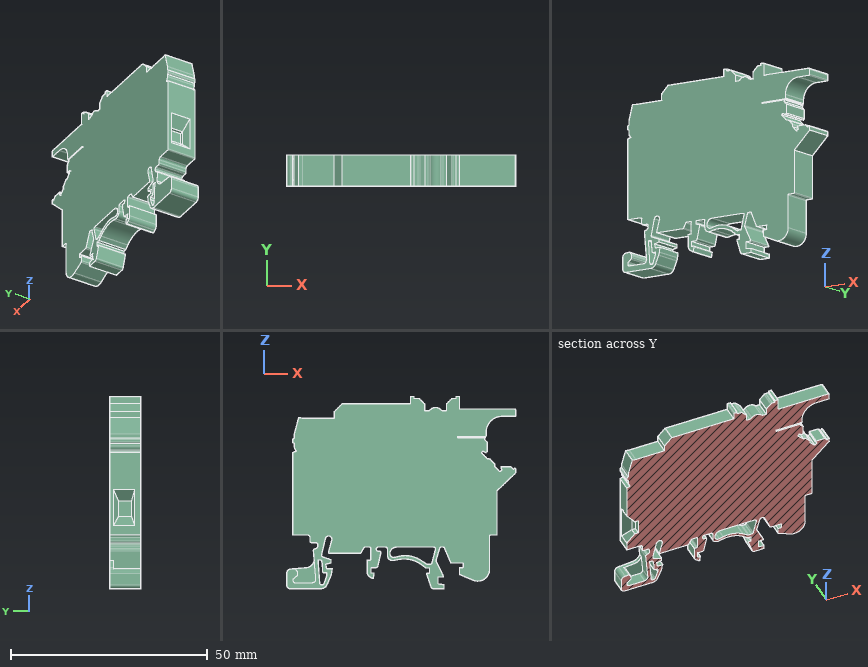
import cadquery as cq
import math


LENGTH = 58.3
HEIGHT = 48.91
THICKNESS = 8.0

FLOOR_Z = 0.0
SHOULDER_Z = 13.64
UNDERSIDE_Z = 10.57
RAIL_SEAT_Z = 9.03
HEAD_Z = 47.05
LEFT_STEP_Z = 43.4
ARM_Z = 45.7
POCKET_Z = 45.25

LEFT_X = 1.54
RIGHT_X = 53.5
RIGHT_FOOT_X = 51.6

ARM_LEFT_X = 6.9
TRAY_FLOOR_Z = 1.54
TRAY_LIP_Z = 4.98
TRAY_RISE = 0.084

EDGE_ROUND = 0.4
TINY_ROUND = 0.2


def rounding_arc(before, corner, after):
    """Start, middle and end of the arc that rounds one corner."""
    x, z, radius = corner
    in_x, in_z = before[0] - x, before[1] - z
    out_x, out_z = after[0] - x, after[1] - z
    in_length = math.hypot(in_x, in_z)
    out_length = math.hypot(out_x, out_z)
    in_x, in_z = in_x / in_length, in_z / in_length
    out_x, out_z = out_x / out_length, out_z / out_length
    half_angle = math.acos(in_x * out_x + in_z * out_z) / 2
    setback = radius / math.tan(half_angle)
    middle_x, middle_z = in_x + out_x, in_z + out_z
    middle_length = math.hypot(middle_x, middle_z)
    to_arc = radius / math.sin(half_angle) - radius
    start = (x + in_x * setback, z + in_z * setback)
    middle = (x + middle_x / middle_length * to_arc, z + middle_z / middle_length * to_arc)
    end = (x + out_x * setback, z + out_z * setback)
    return start, middle, end


def extruded(corners, y_from=-THICKNESS / 2, y_to=THICKNESS / 2):
    """Solid between two Y planes, bounded by the closed outline through the corners."""
    pieces = []
    for index, corner in enumerate(corners):
        if len(corner) == 2:
            pieces.append([corner])
        else:
            after = corners[(index + 1) % len(corners)]
            pieces.append(rounding_arc(corners[index - 1], corner, after))
    outline = cq.Workplane("XZ", origin=(0, y_to, 0)).moveTo(*pieces[0][-1])
    for piece in pieces[1:]:
        outline = outline.lineTo(*piece[0])
        if len(piece) > 1:
            outline = outline.threePointArc(piece[1], piece[2])
    if len(pieces[0]) > 1:
        outline = outline.lineTo(*pieces[0][0]).threePointArc(pieces[0][1], pieces[0][2])
    return outline.close().extrude(y_to - y_from)


def left_side():
    """Side face, snap groove, small bead and the leaning upper wall."""
    groove_z = 35.0
    groove_x = LEFT_X + 0.9
    groove_lower_rise = 0.35
    groove_upper_rise = 0.75
    groove_round = 1.6
    wall_x = LEFT_X + 0.4
    bead_z = 37.6
    bead_base = 1.4
    bead_width = 0.8
    lean_start_z = 39.3
    wall_top_x = 3.07
    crest_rise = 0.15
    crest_width = 1.0
    return [
        (LEFT_X, SHOULDER_Z, TINY_ROUND),
        (LEFT_X, groove_z - groove_lower_rise),
        (groove_x, groove_z),
        (wall_x, groove_z + groove_upper_rise, groove_round),
        (wall_x, bead_z - bead_base / 2),
        (LEFT_X, bead_z - bead_width / 2, TINY_ROUND),
        (LEFT_X, bead_z + bead_width / 2, TINY_ROUND),
        (wall_x, bead_z + bead_base / 2),
        (wall_x, lean_start_z),
        (wall_top_x, LEFT_STEP_Z + crest_rise),
        (wall_top_x + crest_width, LEFT_STEP_Z),
    ]


def head_top():
    """Left step, chamfered head and the two jaws of the marker holder."""
    step_x = 12.1
    chamfer = 2.05
    jaw_left_x = 31.5
    jaw_right_x = 44.0
    lip_width = 0.95
    jaw_z = 48.4
    gap_left_x = 35.15
    gap_right_x = 40.6
    jaw_chamfer = 1.45
    bead_x = (gap_left_x + gap_right_x) / 2
    bead_half_width = 1.6
    bead_rise = 1.65
    bead_round = 1.8
    bead_foot_round = 0.8
    jaw_round = 0.6
    return [
        (step_x, LEFT_STEP_Z),
        (step_x, HEAD_Z - chamfer),
        (step_x + chamfer, HEAD_Z),
        (jaw_left_x, HEAD_Z),
        (jaw_left_x, HEIGHT, TINY_ROUND),
        (jaw_left_x + lip_width, HEIGHT),
        (jaw_left_x + lip_width, jaw_z),
        (gap_left_x - jaw_chamfer, jaw_z, jaw_round),
        (gap_left_x, jaw_z - jaw_chamfer),
        (gap_left_x, POCKET_Z),
        (bead_x - bead_half_width, POCKET_Z, bead_foot_round),
        (bead_x, POCKET_Z + bead_rise, bead_round),
        (bead_x + bead_half_width, POCKET_Z, bead_foot_round),
        (gap_right_x, POCKET_Z),
        (gap_right_x, jaw_z - jaw_chamfer),
        (gap_right_x + jaw_chamfer, jaw_z, jaw_round),
        (jaw_right_x - lip_width, jaw_z),
        (jaw_right_x - lip_width, HEIGHT),
        (jaw_right_x, HEIGHT, TINY_ROUND),
        (jaw_right_x, ARM_Z),
    ]


def overhanging_arm():
    """Arm at the upper right, its hollow, and the thin slit below it."""
    arm_thickness = 1.9
    wall_x = 50.75
    hollow_round = 4.0
    slit_end_x = 43.5
    slit_top_z = 38.65
    slit_width = 0.25
    mouth_x = wall_x - slit_width
    return [
        (LENGTH, ARM_Z, EDGE_ROUND),
        (LENGTH, ARM_Z - arm_thickness, TINY_ROUND),
        (wall_x, ARM_Z - arm_thickness, hollow_round),
        (wall_x, slit_top_z + TINY_ROUND),
        (mouth_x, slit_top_z),
        (slit_end_x, slit_top_z),
        (slit_end_x, slit_top_z - slit_width),
        (mouth_x, slit_top_z - slit_width),
    ]


def right_beak():
    """Nose below the slit, the ramp with its bead, and the pointed beak."""
    nose_x = 51.0
    nose_top_z = 37.25
    nose_bottom_z = 34.9
    nose_top_chamfer = 0.7
    nose_bottom_chamfer = 0.35
    ramp_x = 49.55
    ramp_top_z = 34.6
    ramp_end_x = 54.2
    ramp_end_z = 29.8
    ramp_slope = (ramp_top_z - ramp_end_z) / (ramp_end_x - ramp_x)
    bead_start_x = 51.05
    bead_end_x = 52.95
    bead_height = 0.6
    beak_z = 31.05
    beak_left_x = 54.55
    beak_right_x = 57.0
    hook_depth = 0.8
    hook_reach = 0.2
    lip_groove_x = 57.65
    lip_groove_depth = 0.7
    lip_x = LENGTH - 0.3
    lip_drop = 0.3
    tip_drop = 0.55
    tip_bottom_z = 29.5
    chin_z = 24.9

    def ramp_z(x):
        return ramp_top_z - (x - ramp_x) * ramp_slope

    return [
        (nose_x - nose_top_chamfer, nose_top_z + nose_top_chamfer),
        (nose_x, nose_top_z),
        (nose_x, nose_bottom_z),
        (nose_x - nose_bottom_chamfer, nose_bottom_z - nose_bottom_chamfer),
        (ramp_x + nose_bottom_chamfer, ramp_top_z + nose_bottom_chamfer),
        (ramp_x, ramp_top_z),
        (bead_start_x, ramp_z(bead_start_x)),
        (bead_start_x + bead_height, ramp_z(bead_start_x), EDGE_ROUND),
        (bead_end_x, ramp_z(bead_end_x) + bead_height, EDGE_ROUND),
        (bead_end_x, ramp_z(bead_end_x)),
        (ramp_end_x, ramp_end_z),
        (beak_left_x + hook_reach, beak_z - hook_depth),
        (beak_left_x - hook_reach / 2, beak_z - hook_depth / 2),
        (beak_left_x, beak_z),
        (beak_right_x, beak_z),
        (lip_groove_x, beak_z - lip_groove_depth),
        (lip_x, beak_z - lip_drop),
        (LENGTH, beak_z - tip_drop),
        (LENGTH, tip_bottom_z),
        (RIGHT_X, chin_z),
    ]


def right_foot():
    """Right shoulder and the rounded foot with the groove for the rail edge."""
    toe_x = 43.9
    groove_x = toe_x + 1.0
    groove_bottom_z = 5.4
    groove_top_z = 6.5
    heel_round = 3.0
    heel_z = 0.4
    toe_z = 3.65
    slope_low_x = 41.75
    slope_top_x = 40.0
    return [
        (RIGHT_X, SHOULDER_Z, TINY_ROUND),
        (RIGHT_FOOT_X, SHOULDER_Z, TINY_ROUND),
        (RIGHT_FOOT_X, heel_z, heel_round),
        (toe_x, toe_z, EDGE_ROUND),
        (toe_x, groove_bottom_z),
        (groove_x, groove_bottom_z, TINY_ROUND),
        (groove_x, groove_top_z),
        (slope_low_x, groove_top_z, EDGE_ROUND),
        (slope_top_x, UNDERSIDE_Z, TINY_ROUND),
    ]


def spring_foot():
    """Outer outline of the sprung foot: stem, barbed foot and arched leaf."""
    stem_top_x = 39.0
    stem_low_x = 38.0
    stem_low_z = 7.15
    barb_x = 40.0
    bite_x = 38.5
    bite_top_z = 3.0
    toe_x = 40.05
    toe_z = 1.05
    toe_slope = 0.25
    heel_x = 36.85
    heel_round = 0.7
    groove_x = 36.3
    groove_top_z = 5.24
    groove_bottom_z = 4.0
    lower_lip = 0.8
    upper_lip = 0.85
    leaf_x = 25.6
    leaf_low_z = 6.82
    leaf_round = 1.4
    arch_x = 31.7
    arch_z = 8.1
    arch_round = 7.5
    return [
        (stem_top_x, UNDERSIDE_Z, TINY_ROUND),
        (stem_low_x, stem_low_z, EDGE_ROUND),
        (barb_x, bite_top_z, TINY_ROUND),
        (bite_x, bite_top_z),
        (bite_x, toe_z + toe_slope),
        (toe_x, toe_z),
        (toe_x, FLOOR_Z),
        (heel_x, FLOOR_Z, heel_round),
        (groove_x - lower_lip, groove_bottom_z, TINY_ROUND),
        (groove_x, groove_bottom_z),
        (groove_x, groove_top_z),
        (groove_x - upper_lip, groove_top_z),
        (arch_x, arch_z, arch_round),
        (leaf_x, leaf_low_z, leaf_round),
        (leaf_x, UNDERSIDE_Z, EDGE_ROUND),
    ]


def hook_foot():
    """Rigid hook between the sprung foot and the rail seat."""
    groove_x = 22.85
    outer_x = 24.1
    back_x = 21.35
    back_low_x = 20.45
    step_z = 7.3
    bite_x = 21.5
    bite_top_z = 5.35
    bite_bottom_z = 4.05
    bite_depth = 0.8
    tip_x = 21.85
    tip_z = 2.6
    tip_width = 0.2
    shank_lean = 0.95
    shank_round = 0.6
    back_round = 1.5
    back_end_z = 3.4
    shelf_z = 9.6
    return [
        (groove_x, UNDERSIDE_Z, EDGE_ROUND),
        (groove_x, shelf_z, EDGE_ROUND),
        (outer_x, shelf_z, EDGE_ROUND),
        (outer_x - shank_lean, bite_top_z, shank_round),
        (bite_x, bite_top_z),
        (bite_x, bite_bottom_z),
        (bite_x + bite_depth, bite_bottom_z, TINY_ROUND),
        (tip_x + tip_width, tip_z),
        (tip_x, tip_z),
        (back_low_x, back_end_z, back_round),
        (back_low_x, step_z),
        (back_x, step_z, TINY_ROUND),
        (back_x, UNDERSIDE_Z, TINY_ROUND),
    ]


def rail_seat():
    """Seating pad and the leaning round-ended slot that frees the clip arm."""
    pad_left_x = 10.55
    pad_right_x = 18.9
    pad_slope = 0.85
    slot_lean = 1.2
    slot_top_z = 13.4
    slot_left_x = 8.85
    slot_bottom_z = 8.25
    slot_round = 0.8
    return [
        (pad_right_x + pad_slope, UNDERSIDE_Z, TINY_ROUND),
        (pad_right_x, RAIL_SEAT_Z, TINY_ROUND),
        (pad_left_x, RAIL_SEAT_Z, TINY_ROUND),
        (pad_left_x + slot_lean, slot_top_z, slot_round),
        (slot_left_x + slot_lean, slot_top_z, slot_round),
        (slot_left_x, slot_bottom_z, EDGE_ROUND),
    ]


def clip_foot():
    """Flexible clip: double barb, curved sole, release tray with hooked lip, arm."""
    barb_x = 11.35
    barb_top_z = 7.4
    barb_bottom_z = 6.55
    bite_x = 10.0
    bite_top_z = 6.25
    bite_bottom_z = 5.15
    bite_lean = 0.2
    lower_barb_x = 11.65
    calf_x, calf_z = 11.4, 3.5
    calf_round = 3.0
    sole_x = 9.85
    sole_round = 1.7
    heel_round = 1.0
    lip_outer_round = 1.2
    lip_inner_round = 0.5
    lip_top_x = 2.2
    lip_x = 2.8
    lip_upper_z = 4.3
    lip_lower_z = 3.4
    tray_left_x = 1.6
    tray_left_z = 2.4
    tray_corner_x = 1.8
    arm_foot_x = 7.5
    arm_foot_round = 0.9
    shoulder_x = ARM_LEFT_X - 0.15
    shoulder_z = 10.05
    shoulder_round = 0.45
    neck_x = 7.9
    neck_bottom_z = 10.35
    neck_top_z = 11.7
    neck_round = 0.7
    step_x = 5.95
    step_round = 0.6
    return [
        (barb_x, barb_top_z),
        (barb_x, barb_bottom_z),
        (bite_x, bite_top_z),
        (bite_x + bite_lean, bite_bottom_z),
        (lower_barb_x, bite_bottom_z),
        (calf_x, calf_z, calf_round),
        (sole_x, FLOOR_Z, sole_round),
        (0.0, FLOOR_Z, heel_round),
        (0.0, TRAY_LIP_Z, lip_outer_round),
        (lip_top_x, TRAY_LIP_Z + lip_top_x * TRAY_RISE, TINY_ROUND),
        (lip_x, lip_upper_z, lip_inner_round),
        (lip_x, lip_lower_z, lip_inner_round),
        (tray_left_x, tray_left_z, EDGE_ROUND),
        (tray_corner_x, TRAY_FLOOR_Z, EDGE_ROUND),
        (arm_foot_x, TRAY_FLOOR_Z, arm_foot_round),
        (shoulder_x, shoulder_z, shoulder_round),
        (neck_x, neck_bottom_z, neck_round),
        (neck_x, neck_top_z, EDGE_ROUND),
        (step_x, neck_top_z, EDGE_ROUND),
        (step_x, SHOULDER_Z, step_round),
    ]


def housing():
    """Full-thickness solid of the whole outer profile."""
    return extruded(
        left_side()
        + head_top()
        + overhanging_arm()
        + right_beak()
        + right_foot()
        + spring_foot()
        + hook_foot()
        + rail_seat()
        + clip_foot()
    )


def spring_cavity():
    """Opening above the arched leaf of the sprung foot."""
    left_x = 26.3
    right_x = 37.95
    upper_round = 1.6
    leaf_low_z = 7.75
    lower_round = 0.95
    arch_x, arch_z = 31.5, 9.0
    arch_round = 7.0
    valley_x, valley_z = 35.6, 6.3
    stem_x = 36.85
    return extruded([
        (left_x, UNDERSIDE_Z, upper_round),
        (left_x, leaf_low_z, lower_round),
        (arch_x, arch_z, arch_round),
        (valley_x, valley_z, EDGE_ROUND),
        (stem_x, valley_z, EDGE_ROUND),
        (right_x, UNDERSIDE_Z, EDGE_ROUND),
    ])


def clip_window():
    """Slender opening between the clip arm and its barbs."""
    left_x = 8.05
    right_x = 10.2
    top_width = 0.8
    top_z = 7.3
    waist_x = 9.05
    waist_z = 6.3
    shelf_x = 9.15
    shelf_z = 4.05
    taper_z = 3.3
    bottom_left_x = 8.5
    bottom_right_x = 9.4
    bottom_z = 1.05
    return extruded([
        (left_x, top_z),
        (left_x + top_width, top_z, TINY_ROUND),
        (waist_x, waist_z),
        (shelf_x, shelf_z, EDGE_ROUND),
        (right_x, shelf_z),
        (right_x, taper_z),
        (bottom_right_x, bottom_z, EDGE_ROUND),
        (bottom_left_x, bottom_z, EDGE_ROUND),
    ])


def tray_wall():
    """Thin wall that closes the release tray on its +Y side."""
    wall_thickness = 1.0
    wall_round = 2.2
    end_x = ARM_LEFT_X + 0.15
    inside_lip_x = 1.4
    inside_arm_x = 7.6
    top_z = 8.2
    bottom_z = TRAY_FLOOR_Z / 2
    return extruded(
        [
            (inside_lip_x, bottom_z),
            (inside_lip_x, TRAY_LIP_Z + inside_lip_x * TRAY_RISE),
            (end_x, TRAY_LIP_Z + end_x * TRAY_RISE, wall_round),
            (end_x, top_z),
            (inside_arm_x, top_z),
            (inside_arm_x, bottom_z),
        ],
        y_from=THICKNESS / 2 - wall_thickness,
    )


def wire_entry():
    """Tapered wire funnel in the left side face, ending in a short straight well."""
    mouth_y, mouth_z = (-2.4, 3.0), (16.1, 25.2)
    throat_y, throat_z = (-1.6, 1.7), (18.4, 22.3)
    funnel_depth = 2.25
    well_depth = 1.0

    def opening(x, y_range, z_range):
        width = y_range[1] - y_range[0]
        height = z_range[1] - z_range[0]
        centre = (x, sum(y_range) / 2, sum(z_range) / 2)
        return cq.Workplane("YZ", origin=centre).rect(width, height)

    throat_x = LEFT_X + funnel_depth
    mouth = opening(LEFT_X, mouth_y, mouth_z).val()
    throat = opening(throat_x, throat_y, throat_z)
    funnel = cq.Solid.makeLoft([mouth, throat.val()], True)
    return throat.extrude(well_depth).union(cq.Workplane(funnel))


result = (
    housing()
    .union(tray_wall())
    .cut(spring_cavity())
    .cut(clip_window())
    .cut(wire_entry())
)